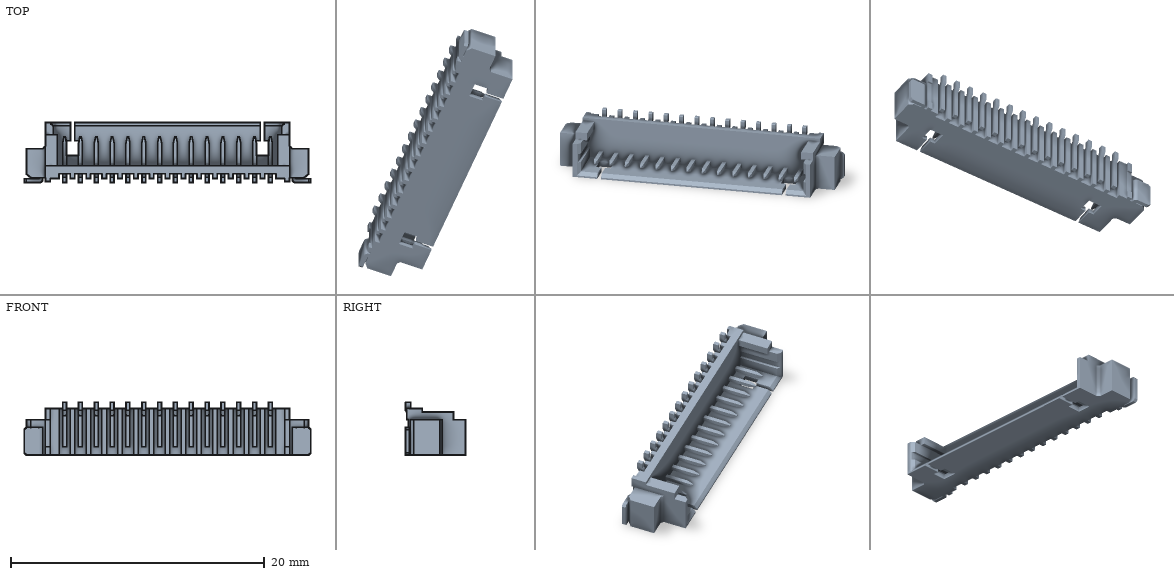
import cadquery as cq
import math

overall_length = 22.65
half_depth = 2.38
overall_height = 4.2

contact_count = 14
contact_row_length = 16.25
contact_width = 0.32
pin_tip_y = 1.25
pin_taper_length = 0.5
pin_tip_width = 0.11
tail_thickness = 0.43
tail_bend_z = 3.55
tail_plate_y = -2.13
tail_step_height = 0.43
contact_bottom_z = 0.68
tail_end_fillet = 0.07

body_length = 19.28
base_height = 3.7
base_front_y = -1.05
rib_y = -2.05
groove_floor_y = -1.68
groove_width = 0.88
floor_thickness = 0.4

post_width = 0.39
post_y = -2.29
post_recess_y = -2.15
post_recess_bottom_z = 0.68
post_recess_top_z = 2.8

wall_height = 2.8
wall_thickness = 0.61
rail_top_z = 3.42
rail_width = 0.95
rail_end_y = 1.43
mouth_chamfer = 0.27
wall_groove_depth = 0.2
wall_groove_bottom_z = 1.22
wall_groove_top_z = 1.93

slot_width = 0.32
window_width = 1.18
window_top_y = 0.93
window_bottom_y = -0.215

block_half_length = 11.15
block_height = 2.8
block_top_y = 0.32
block_bottom_y = -2.0
block_chamfer_x = 0.36
block_chamfer_y = 0.3
block_flare = 0.2

tab_height = 2.2
tab_thickness = 0.32
tab_bend_x = 9.83
tab_corner_chamfer = 0.18
tab_embed = 0.45

half_body = body_length / 2
wall_inner_x = half_body - wall_thickness
tail_back_y = tail_thickness - half_depth
contact_pitch = contact_row_length / (contact_count - 1)
contact_xs = [(i - (contact_count - 1) / 2) * contact_pitch for i in range(contact_count)]


def box(x0, x1, y0, y1, z0, z1):
    return cq.Workplane("XY").box(x1 - x0, y1 - y0, z1 - z0, centered=False).translate((x0, y0, z0))


def prism(points, height):
    return cq.Workplane("XY").polyline(points).close().extrude(height)


def make_base():
    """Upright back wall with one groove behind each contact."""
    base = box(-half_body, half_body, rib_y, base_front_y, 0, base_height)
    for x in contact_xs:
        base = base.cut(
            box(x - groove_width / 2, x + groove_width / 2, rib_y, groove_floor_y, 0, base_height)
        )
    return base


def make_floor():
    """Floor of the cavity, bevelled at the mouth."""
    floor = box(-half_body, half_body, base_front_y, half_depth, 0, floor_thickness)
    return floor.edges(">Y and >Z").chamfer(mouth_chamfer)


def cut_floor_window(part, center_x):
    half_slot = slot_width / 2
    half_window = window_width / 2
    slot = box(center_x - half_slot, center_x + half_slot, window_bottom_y, half_depth, 0, floor_thickness)
    window = box(
        center_x - half_window, center_x + half_window, window_bottom_y, window_top_y, 0, floor_thickness
    )
    return part.cut(slot).cut(window)


def make_right_wall():
    """End wall with a bevelled mouth and a raised rail, and a groove along its inner face."""
    wall = prism(
        [
            (wall_inner_x, base_front_y),
            (half_body, base_front_y),
            (half_body, half_depth),
            (wall_inner_x + mouth_chamfer, half_depth),
            (wall_inner_x, half_depth - mouth_chamfer),
        ],
        wall_height,
    )
    groove = box(
        wall_inner_x, wall_inner_x + wall_groove_depth,
        base_front_y, half_depth,
        wall_groove_bottom_z, wall_groove_top_z,
    )
    rail_inner_x = half_body - rail_width
    rail = box(rail_inner_x, half_body, base_front_y, rail_end_y, wall_height, rail_top_z)
    return wall.cut(groove).union(rail)


def make_right_post():
    """Post on the rear face, set back between its foot and its head."""
    inner_x = half_body - post_width
    post = box(inner_x, half_body, post_y, rib_y, 0, base_height)
    recess = box(inner_x, half_body, post_y, post_recess_y, post_recess_bottom_z, post_recess_top_z)
    return post.cut(recess)


def make_right_block():
    """Side block with a bevelled outer rear corner and a flare where it meets the body."""
    return prism(
        [
            (half_body, block_bottom_y),
            (block_half_length - block_chamfer_x, block_bottom_y),
            (block_half_length, block_bottom_y + block_chamfer_y),
            (block_half_length, block_top_y),
            (half_body + block_flare, block_top_y),
            (half_body, block_top_y + block_flare),
        ],
        block_height,
    )


def make_right_tab():
    """L-shaped solder tab: a plate on the mounting plane, bent towards +Y into the side block."""
    end_x = overall_length / 2
    plate_y = -half_depth + tab_thickness
    tab = prism(
        [
            (tab_bend_x, -half_depth),
            (end_x, -half_depth),
            (end_x, plate_y),
            (tab_bend_x + tab_thickness, plate_y),
            (tab_bend_x + tab_thickness, block_bottom_y + tab_embed),
            (tab_bend_x, block_bottom_y + tab_embed),
        ],
        tab_height,
    )
    tab = tab.edges("|Z and <X and <Y").fillet(tab_thickness)
    return tab.edges("|Y and >X").chamfer(tab_corner_chamfer)


def make_pin():
    """Square pin tapering towards its tip."""
    half_width = contact_width / 2
    taper_start_y = pin_tip_y - pin_taper_length
    shaft = box(
        -half_width, half_width,
        groove_floor_y, taper_start_y,
        contact_bottom_z, contact_bottom_z + contact_width,
    )
    tip = (
        cq.Workplane("XZ", origin=(0, taper_start_y, contact_bottom_z + half_width))
        .rect(contact_width, contact_width)
        .workplane(offset=-pin_taper_length)
        .rect(pin_tip_width, pin_tip_width)
        .loft()
    )
    return shaft.union(tip)


def make_tail():
    """Flat tail in the groove, stepping back to the mounting plane near the top of the base."""
    step_angle = math.atan2(tail_plate_y + half_depth, tail_step_height)
    outer_bend_z = tail_bend_z + tail_thickness * math.tan(step_angle / 2)
    upper_end_z = outer_bend_z - (groove_floor_y - tail_back_y) / math.tan(step_angle)
    tail = (
        cq.Workplane("YZ")
        .polyline(
            [
                (groove_floor_y, contact_bottom_z),
                (tail_plate_y, contact_bottom_z),
                (tail_plate_y, tail_bend_z - tail_step_height),
                (-half_depth, tail_bend_z),
                (-half_depth, overall_height),
                (tail_back_y, overall_height),
                (tail_back_y, outer_bend_z),
                (groove_floor_y, upper_end_z),
            ]
        )
        .close()
        .extrude(contact_width / 2, both=True)
    )
    return tail.edges("|X and >Z").fillet(tail_end_fillet)


body = make_base().union(make_floor())

window_center_x = contact_xs[-1] - contact_pitch / 2
for window_x in (-window_center_x, window_center_x):
    body = cut_floor_window(body, window_x)

right_end = make_right_wall().union(make_right_post()).union(make_right_block()).union(make_right_tab())
body = body.union(right_end).union(right_end.mirror("YZ"))

contact = make_pin().union(make_tail())
for x in contact_xs:
    body = body.union(contact.translate((x, 0, 0)))

result = body